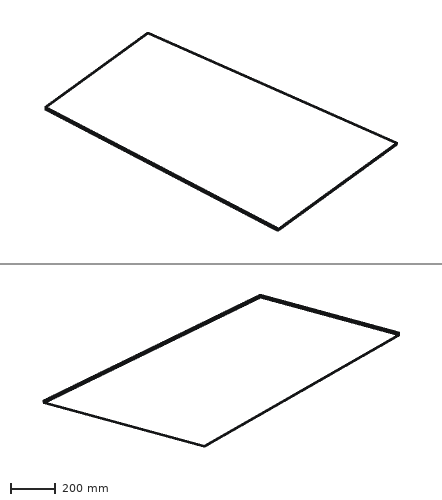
import cadquery as cq
import math

thickness = 10.0
slope_angle = 13.3203
plan_length = 1248.7
upper_edge_length = 936.0
lower_edge_length = 1081.5

turn_angle = 6.668

slope = math.radians(slope_angle)
drop = plan_length * math.tan(slope)
plumb_thickness = thickness / math.cos(slope)
lower_undercut = 2 * thickness * math.sin(slope)

prism_height = 2 * (drop + plumb_thickness)


def sloping_slab():
    """Side profile of the panel along X, extruded wider than the panel."""
    underside_end = plan_length - lower_undercut
    profile = [
        (0, 0),
        (plan_length, -drop),
        (underside_end, -underside_end * math.tan(slope) - plumb_thickness),
        (0, -plumb_thickness),
    ]
    return cq.Workplane("XZ").polyline(profile).close().extrude(lower_edge_length, both=True)


def plan_prism():
    """Upright prism with the trapezoidal plan outline, which gives the panel plumb long sides."""
    half_upper = upper_edge_length / 2
    half_lower = lower_edge_length / 2
    outline = [
        (0, -half_upper),
        (plan_length, -half_lower),
        (plan_length, half_lower),
        (0, half_upper),
    ]
    return cq.Workplane("XY").polyline(outline).close().extrude(prism_height, both=True)


panel = sloping_slab().intersect(plan_prism())
result = panel.rotate((0, 0, 0), (0, 0, 1), turn_angle)